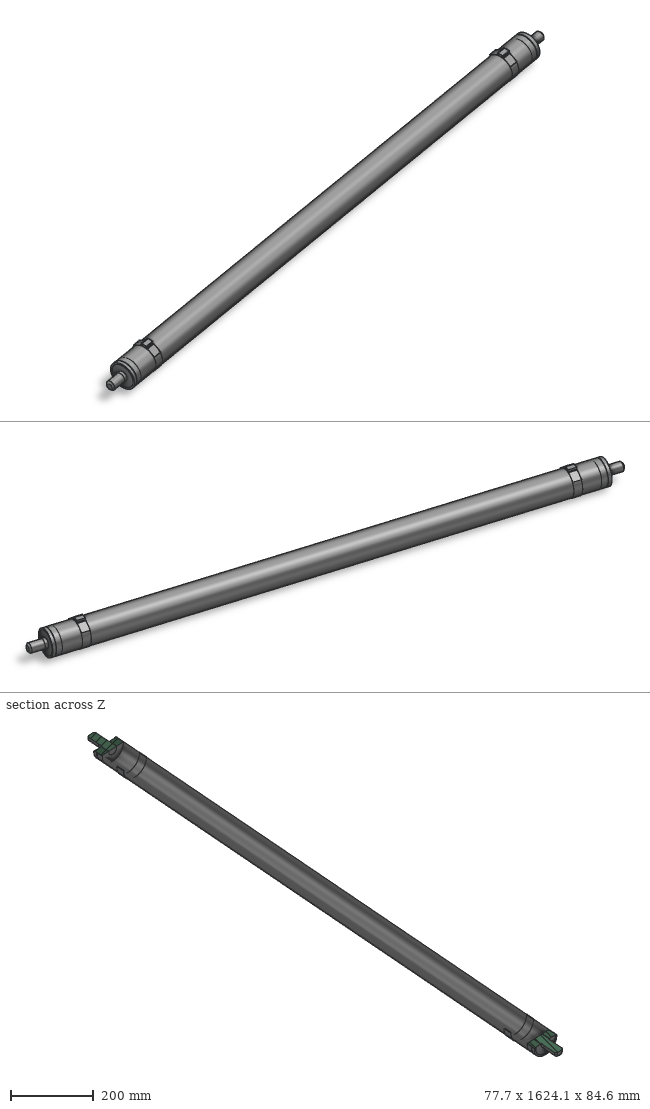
import cadquery as cq
import math

overall_length = 1624.1
overall_width = 77.66
overall_height = 84.57
tube_radius = 38.0
tube_bore_radius = 35.5
body_half_length = 762.5

flange_thickness = 10.0
plug_depth = 17.0
cap_recess_radius = 33.0
cap_recess_depth = 1.0

stem_radius = 26.8 / 2
collar_radius = 27.04 / 2
collar_length = 8.0
stem_tip_chamfer = 5.0

clamp_center = 670.0
clamp_width = 24.0
clamp_radius = overall_width / 2
roof_normal_angle = 57.0
roof_end_angle = 36.0
loop_top = overall_height - clamp_radius
loop_width = 17.0
loop_wall = 1.5

tip_end = overall_length / 2
tube_half_length = body_half_length - flange_thickness
plug_end = tube_half_length - plug_depth
clamp_start = clamp_center - clamp_width / 2


def plane_at(y):
    """Sketch plane across the axis at the given Y, with X right and Z up."""
    return cq.Workplane("XZ", origin=(0, y, 0))


def cylinder(radius, start, end):
    """Round bar along Y."""
    return plane_at(start).circle(radius).extrude(start - end)


def polar(radius, angle):
    """Point in the cross-section at an angle in degrees up from the X axis."""
    return (radius * math.cos(math.radians(angle)), radius * math.sin(math.radians(angle)))


def tube():
    outside = cylinder(tube_radius, -tube_half_length, tube_half_length)
    return outside.cut(cylinder(tube_bore_radius, -tube_half_length, tube_half_length))


def end_cap():
    """Flange against the tube end, with a plug inside the tube and a recessed outer face."""
    flange = cylinder(tube_radius, tube_half_length, body_half_length)
    plug = cylinder(tube_bore_radius, plug_end, tube_half_length)
    recess = cylinder(cap_recess_radius, body_half_length - cap_recess_depth, body_half_length)
    stem_hole = cylinder(stem_radius, plug_end, body_half_length)
    return flange.union(plug).cut(recess).cut(stem_hole)


def stem():
    """Gland stem through the cap, chamfered at its free end."""
    return cylinder(stem_radius, plug_end, tip_end).faces(">Y").chamfer(stem_tip_chamfer)


def collar():
    """Thin sleeve around the stem, seated in the cap recess."""
    seat = body_half_length - cap_recess_depth
    end = body_half_length + collar_length
    return cylinder(collar_radius, seat, end).cut(cylinder(stem_radius, seat, end))


def mirrored(points):
    """The points on the other side of the Z axis, in reverse order."""
    return [(-x, z) for x, z in reversed(points)]


def clamp():
    """Strap around the tube, with a flat-sided roof and a rectangular hanging loop on top."""
    step_turn = math.radians(roof_normal_angle - roof_end_angle)
    top_turn = (90 - roof_normal_angle) / 2
    right_side = [
        polar(clamp_radius, roof_end_angle),
        polar(clamp_radius / math.cos(step_turn), roof_end_angle),
        polar(clamp_radius / math.cos(math.radians(top_turn)), 90 - top_turn),
        (loop_width / 2, clamp_radius),
        (loop_width / 2, loop_top),
    ]
    outline = (
        plane_at(clamp_start)
        .polyline(right_side + mirrored(right_side))
        .threePointArc((0, -clamp_radius), right_side[0])
        .close()
    )
    tube_hole = cylinder(tube_radius, clamp_start, clamp_start + clamp_width)
    opening_height = loop_top - loop_wall - clamp_radius
    opening = (
        plane_at(clamp_start)
        .center(0, clamp_radius + opening_height / 2)
        .rect(loop_width - 2 * loop_wall, opening_height)
        .extrude(-clamp_width)
    )
    return outline.extrude(-clamp_width).cut(tube_hole).cut(opening)


bodies = [tube().val()]
for end_part in (end_cap(), stem(), collar(), clamp()):
    bodies.append(end_part.val())
    bodies.append(end_part.mirror("XZ").val())

result = cq.Compound.makeCompound(bodies)